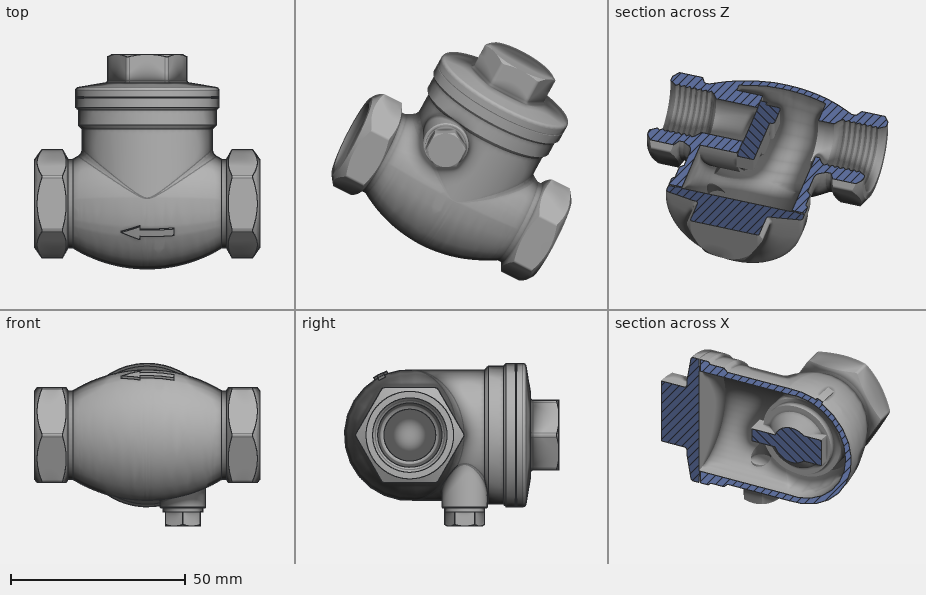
import cadquery as cq
import math


end_x = 32.25
body_radius = 18.7
end_neck_radius = 12.65
body_arc_half_length = 21.3
hex_inner_x = 22.65

end_hex_flats = 27.1
end_hex_edge_fillet = 0.95
end_hex_corner_radius = 15.6
end_face_radius = 12.5
outer_chamfer_length = 2.25
inner_chamfer_length = 1.7

neck_radius = 18.65
neck_bore_radius = 33.0 / 2
collar_radius = 39.5 / 2
flange_radius = 41.0 / 2
collar_start_y = 21.35
collar_chamfer = collar_radius - neck_radius
flange_start_y = 26.75
flange_chamfer = flange_radius - collar_radius
gasket_start_y = 30.2
neck_fillet = 2.25

wall = 2.0
cavity_half_length = 12.9
port_bore_radius = 14.85 / 2
port_mouth_radius = 10.65
thread_root_radius = 9.9
thread_crest_radius = 18.4 / 2
mouth_chamfer_length = 1.2
thread_pitch = 1.6
thread_turns = 7
port_cone_length = 1.3

seat_x = 5.15
seat_tube_radius = 25.0 / 2

drain_x = 10.2
drain_y = 15.7
drain_boss_radius = 13.0 / 2
drain_boss_bottom_z = -20.9
drain_boss_chamfer = 0.3
drain_boss_fillet = 0.65
shank_radius = 6.0 / 2
shank_top_z = -14.2
washer_radius = 11.5 / 2
washer_thickness = 1.0
plug_bottom_z = -26.0
plug_hex_flats = 10.0
plug_chamfer_height = 0.45

gasket_radius = 36.5 / 2
gasket_thickness = 0.3
cover_rim_top_y = 33.1
cover_rim_fillet = 0.95
cover_land_radius = 12.1
cover_land_y = 34.5
cover_top_y = 42.65
cover_hex_flats = 20.0
cover_hex_corner_radius = cover_hex_flats / math.sqrt(3)
cover_hex_edge_fillet = 1.2
cover_hex_top_radius = 10.05
cover_hex_chamfer_height = 0.8
cover_hex_root_fillet = 0.7

flap_plate_radius = 22.0 / 2
flap_plate_thickness = 1.95
flap_boss_radius = 11.5 / 2
flap_boss_base_radius = 9.0
flap_boss_height = 3.2
flap_center_y = 0.65
arm_width = 4.5
arm_end_y = 13.55
arm_edge_fillet = 0.25
lug_inner_y = -2.05
lug_outer_y = -9.0
lug_width = 8.5
lug_rise = 1.3
lug_fillet = 0.95

arrow_height = 0.8
arrow_tilt = 26.0
arrow_tip_x = -7.5
arrow_shoulder_x = -2.1
arrow_tail_x = 7.6
arrow_head_half_width = 2.05
arrow_shaft_half_width = 1.0


def turn_about_x(profile):
    return profile.revolve(360, (0, 0, 0), (1, 0, 0))


def turn_about_y(profile):
    return profile.revolve(360, (0, 0, 0), (0, 1, 0))


def arc_radius(crown, edge, half_length):
    """Radius of the arc through the crown and two points at +-half_length."""
    sag = crown - edge
    return (half_length**2 + sag**2) / (2 * sag)


def barrel(growth, half_length):
    """Barrel about X whose arc is the body arc offset outward by growth."""
    body_arc = arc_radius(body_radius, end_neck_radius, body_arc_half_length)
    crown = body_radius + growth
    edge = crown - body_arc - growth + math.sqrt((body_arc + growth) ** 2 - half_length**2)
    return turn_about_x(
        cq.Workplane("XY")
        .moveTo(-half_length, 0)
        .lineTo(-half_length, edge)
        .threePointArc((0, crown), (half_length, edge))
        .lineTo(half_length, 0)
        .close()
    )


def cylinder_y(radius, start, end):
    return cq.Workplane("XZ", origin=(0, start, 0)).circle(radius).extrude(start - end)


def cylinder_z(radius, start, end):
    """Cylinder on the drain axis."""
    return cq.Workplane("XY", origin=(drain_x, drain_y, start)).circle(radius).extrude(end - start)


def port_hexagon():
    """Hexagon of the +X port, coned on both faces, with the round neck behind it."""
    length = end_x - hex_inner_x
    prism = (
        cq.Workplane("YZ", origin=(hex_inner_x, 0, 0))
        .polygon(6, end_hex_flats / math.cos(math.pi / 6))
        .extrude(length)
        .edges("|X")
        .fillet(end_hex_edge_fillet)
    )
    cones = turn_about_x(
        cq.Workplane("XY")
        .moveTo(hex_inner_x, 0)
        .lineTo(hex_inner_x, end_neck_radius)
        .lineTo(hex_inner_x + inner_chamfer_length, end_hex_corner_radius)
        .lineTo(end_x - outer_chamfer_length, end_hex_corner_radius)
        .lineTo(end_x, end_face_radius)
        .lineTo(end_x, 0)
        .close()
    )
    neck = cq.Workplane("YZ").circle(end_neck_radius).extrude(hex_inner_x)
    return prism.intersect(cones).union(neck)


def port_bore(inner_x):
    """Void of the +X port: mouth chamfer, thread grooves, cone and plain bore down to inner_x."""
    x = end_x - mouth_chamfer_length
    points = [(end_x, 0), (end_x, port_mouth_radius), (x, thread_root_radius)]
    for _ in range(thread_turns):
        points.append((x - thread_pitch / 2, thread_crest_radius))
        x -= thread_pitch
        points.append((x, thread_root_radius))
    x -= thread_pitch / 2
    points += [(x, thread_crest_radius), (x - port_cone_length, port_bore_radius)]
    points += [(inner_x, port_bore_radius), (inner_x, 0)]
    return turn_about_x(cq.Workplane("XY").polyline(points).close())


def flow_arrow():
    outline = [
        (arrow_tip_x, 0),
        (arrow_shoulder_x, arrow_head_half_width),
        (arrow_shoulder_x, arrow_shaft_half_width),
        (arrow_tail_x, arrow_shaft_half_width),
        (arrow_tail_x, -arrow_shaft_half_width),
        (arrow_shoulder_x, -arrow_shaft_half_width),
        (arrow_shoulder_x, -arrow_head_half_width),
    ]
    prism = cq.Workplane("XY").polyline(outline).close().extrude(2 * body_radius)
    skin = barrel(arrow_height, body_arc_half_length).cut(barrel(-wall / 2, body_arc_half_length))
    return prism.rotate((0, 0, 0), (1, 0, 0), arrow_tilt).intersect(skin)


def make_housing():
    """Barrel body with bonnet neck, two ports, drain boss and inner inlet seat."""
    neck = cylinder_y(neck_radius, 0, collar_start_y + collar_chamfer)
    shell = barrel(0, body_arc_half_length).union(neck)
    shell = shell.edges("not (%CIRCLE or %LINE)").fillet(neck_fillet)

    collar = turn_about_y(
        cq.Workplane("XY")
        .moveTo(0, collar_start_y)
        .lineTo(neck_radius, collar_start_y)
        .lineTo(collar_radius, collar_start_y + collar_chamfer)
        .lineTo(collar_radius, flange_start_y)
        .lineTo(flange_radius, flange_start_y + flange_chamfer)
        .lineTo(flange_radius, gasket_start_y)
        .lineTo(0, gasket_start_y)
        .close()
    )
    drain_boss = cylinder_z(drain_boss_radius, drain_boss_bottom_z, 0).faces("<Z").chamfer(drain_boss_chamfer)
    drain_boss = neck.union(drain_boss).edges("not (%CIRCLE or %LINE)").fillet(drain_boss_fillet)
    hexagon = port_hexagon()
    shell = shell.union(collar).union(drain_boss)
    shell = shell.union(hexagon).union(hexagon.mirror("YZ")).union(flow_arrow())

    cavity = barrel(-wall, cavity_half_length).union(cylinder_y(neck_bore_radius, 0, gasket_start_y))
    seat_length = hex_inner_x - seat_x
    seat_tube = cq.Workplane("YZ", origin=(seat_x, 0, 0)).circle(seat_tube_radius).extrude(seat_length)
    shell = shell.cut(cavity).union(seat_tube)

    outlet_bore = port_bore(0).mirror("YZ")
    drain_hole = cylinder_z(shank_radius, drain_boss_bottom_z, 0)
    return shell.cut(port_bore(0)).cut(outlet_bore).cut(drain_hole)


def make_gasket():
    """Ring between housing flange and cover, set in from their rims."""
    gasket_end_y = gasket_start_y + gasket_thickness
    ring = cylinder_y(gasket_radius, gasket_start_y, gasket_end_y)
    return ring.cut(cylinder_y(neck_bore_radius, gasket_start_y, gasket_end_y))


def make_cover():
    """Conical cover with a hexagon head."""
    bottom_y = gasket_start_y + gasket_thickness
    disc = turn_about_y(
        cq.Workplane("XY")
        .moveTo(0, bottom_y)
        .lineTo(flange_radius, bottom_y)
        .lineTo(flange_radius, cover_rim_top_y)
        .lineTo(cover_land_radius, cover_land_y)
        .lineTo(0, cover_land_y)
        .close()
    )
    rim = cq.selectors.NearestToPointSelector((0, cover_rim_top_y, 0))
    disc = disc.edges(rim).fillet(cover_rim_fillet)
    hexagon = (
        cq.Workplane("XZ", origin=(0, bottom_y, 0))
        .polygon(6, cover_hex_flats / math.cos(math.pi / 6))
        .extrude(bottom_y - cover_top_y)
        .edges("|Y")
        .fillet(cover_hex_edge_fillet)
    )
    blank = cylinder_y(cover_hex_corner_radius, bottom_y, cover_top_y).faces(">Y").chamfer(
        cover_hex_chamfer_height, cover_hex_corner_radius - cover_hex_top_radius
    )
    cover = disc.union(hexagon.intersect(blank))
    reach = (cover_hex_corner_radius + cover_land_radius) / 2
    half_depth = cover_hex_root_fillet / 2
    root = cq.selectors.BoxSelector(
        (-reach, cover_land_y - half_depth, -reach),
        (reach, cover_land_y + half_depth, reach),
        boundingbox=True,
    )
    return cover.edges(root).fillet(cover_hex_root_fillet)


def make_washer():
    """Sealing ring under the drain plug head."""
    washer_bottom_z = drain_boss_bottom_z - washer_thickness
    ring = cylinder_z(washer_radius, washer_bottom_z, drain_boss_bottom_z)
    return ring.cut(cylinder_z(shank_radius, washer_bottom_z, drain_boss_bottom_z))


def make_plug():
    """Hexagon head drain plug with a plain shank."""
    head_top_z = drain_boss_bottom_z - washer_thickness
    head = (
        cq.Workplane("XY", origin=(drain_x, drain_y, plug_bottom_z))
        .polygon(6, plug_hex_flats / math.cos(math.pi / 6))
        .extrude(head_top_z - plug_bottom_z)
        .rotate((drain_x, drain_y, 0), (drain_x, drain_y, 1), 90)
    )
    blank = cylinder_z(washer_radius, plug_bottom_z, head_top_z).faces("<Z").chamfer(
        plug_chamfer_height, washer_radius - plug_hex_flats / 2
    )
    return head.intersect(blank).union(cylinder_z(shank_radius, head_top_z, shank_top_z))


def make_flap():
    """Disc resting on the inlet seat, with a conical boss, hinge arm and stop lug."""
    plate_x = seat_x - flap_plate_thickness
    boss_x = plate_x - flap_boss_height
    body = turn_about_x(
        cq.Workplane("XY")
        .moveTo(seat_x, 0)
        .lineTo(seat_x, flap_plate_radius)
        .lineTo(plate_x, flap_plate_radius)
        .lineTo(plate_x, flap_boss_base_radius)
        .lineTo(boss_x, flap_boss_radius)
        .lineTo(boss_x, 0)
        .close()
    ).translate((0, flap_center_y, 0))
    arm = (
        cq.Workplane("XY")
        .box(seat_x - boss_x, arm_end_y, arm_width, centered=(False, False, True))
        .translate((boss_x, 0, 0))
        .faces("<X")
        .edges("|Y")
        .fillet(arm_edge_fillet)
    )
    lug_x = boss_x - lug_rise
    lug = (
        cq.Workplane("XY")
        .box(seat_x - lug_x, lug_inner_y - lug_outer_y, lug_width, centered=(False, False, True))
        .translate((lug_x, lug_outer_y, 0))
        .faces("<X")
        .edges()
        .fillet(lug_fillet)
    )
    return body.union(arm).union(lug)


housing = make_housing()
gasket = make_gasket()
cover = make_cover()
washer = make_washer()
plug = make_plug()
flap = make_flap()

bodies = [housing, gasket, cover, washer, plug, flap]
result = cq.Compound.makeCompound([body.val() for body in bodies])